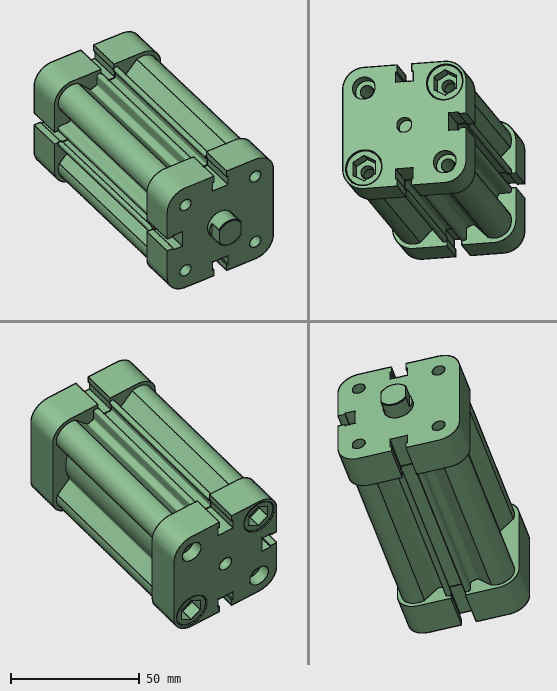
import cadquery as cq
import math


CAP_LENGTH = 14.5
TUBE_LENGTH = 65.5
HOUSING_LENGTH = TUBE_LENGTH + 2 * CAP_LENGTH

CAP_SIZE = 49.5
BOLT_SPACING = 32.5
CAP_CORNER_RADIUS = (CAP_SIZE - BOLT_SPACING) / 2

CORE_RADIUS = 18.5
POST_RADIUS = 6.75
WEB_WIDTH = 12.5
WEB_FILLET = 1.0

RAIL_HALF_WIDTH = 5.0
RAIL_TOP = 23.0
RAIL_ROUND = 1.0
SLOT_MOUTH_HALF = 2.65
SLOT_POCKET_HALF = 3.3
SLOT_FLOOR = 18.0
SLOT_LIP = 21.5
SLOT_FLOOR_FILLET = 0.5
SLOT_MOUTH_ROUND = 0.6
CAP_SLOT_CLEARANCE = 0.3
SLOT_TURNS = (0, 90, 180)

BOLT_HOLE_DIAMETER = 5.2
PLAIN_BORE_DIAMETER = 9.0
PLAIN_BORE_DEPTH = 5.0
CENTRE_HOLE_DIAMETER = 6.0
CENTRE_HOLE_DEPTH = 4.0

SCREW_DIAMETER = 14.0
SCREW_RECESS_DIAMETER = 14.6
SCREW_LENGTH = 10.0
SCREW_SETBACK = 0.5
HEX_ACROSS_FLATS = 9.0
HEX_DEPTH = 5.5

ROD_DIAMETER = 12.0
ROD_PROJECTION = 7.0
ROD_TIP_CHAMFER = 0.3
ROD_ACROSS_FLATS = 10.0
FLAT_START = 1.85
FLAT_RUNOUT = 0.35

half_spacing = BOLT_SPACING / 2
screw_corners = [(-half_spacing, half_spacing), (half_spacing, -half_spacing)]
plain_corners = [(half_spacing, half_spacing), (-half_spacing, -half_spacing)]
all_corners = screw_corners + plain_corners


def section(x):
    """Sketch plane across the cylinder at position x, with local axes Y and Z."""
    return cq.Workplane("YZ", origin=(x, 0, 0))


def turned(shape, degrees):
    return shape.rotate((0, 0, 0), (1, 0, 0), degrees)


def cylinders(points, diameter, length, x=0.0):
    return section(x).pushPoints(points).circle(diameter / 2).extrude(length)


def long_edges(shape, points):
    """Edges parallel to X that pass through the given (Y, Z) points."""
    tolerance = 0.01

    def is_wanted(edge):
        middle = edge.Center()
        return any(math.hypot(middle.y - y, middle.z - z) < tolerance for y, z in points)

    return shape.edges("|X").filter(is_wanted)


def slot_cutter(length, clearance):
    """T-slot on the +Z side, grown by the clearance on every wall."""
    mouth = SLOT_MOUTH_HALF + clearance
    pocket = SLOT_POCKET_HALF + clearance
    floor = SLOT_FLOOR - clearance
    lip = SLOT_LIP + clearance
    return (
        section(0)
        .moveTo(-pocket, floor)
        .lineTo(pocket, floor)
        .lineTo(pocket, lip)
        .lineTo(mouth, lip)
        .lineTo(mouth, CAP_SIZE)
        .lineTo(-mouth, CAP_SIZE)
        .lineTo(-mouth, lip)
        .lineTo(-pocket, lip)
        .close()
        .extrude(length)
    )


def make_web():
    """Bar across two opposite posts, rounded to the post radius at both ends."""
    post_centre = half_spacing * math.sqrt(2)
    posts = cylinders([(-post_centre, 0), (post_centre, 0)], 2 * POST_RADIUS, TUBE_LENGTH)
    bar = section(0).rect(2 * post_centre, WEB_WIDTH).extrude(TUBE_LENGTH)
    envelope = section(0).rect(2 * (post_centre + POST_RADIUS), WEB_WIDTH).extrude(TUBE_LENGTH)
    return bar.union(posts).intersect(envelope).clean()


def webbed_core():
    """Core and both diagonal webs, filleted where they meet."""
    core = section(0).circle(CORE_RADIUS).extrude(TUBE_LENGTH)
    half_web = WEB_WIDTH / 2
    web = make_web()
    for angle in (45, 135):
        core = core.union(turned(web, angle))
    corner_angle = math.asin(half_web / CORE_RADIUS)
    corners = []
    for quarter in range(4):
        for side in (-1, 1):
            angle = math.radians(45 + 90 * quarter) + side * corner_angle
            corners.append((CORE_RADIUS * math.cos(angle), CORE_RADIUS * math.sin(angle)))
    return long_edges(core, corners).fillet(WEB_FILLET)


def add_rail(tube):
    """Adds a slotted rail on the +Z side of the tube."""
    rail = section(0).rect(2 * RAIL_HALF_WIDTH, 2 * RAIL_TOP).extrude(TUBE_LENGTH)
    upper_half = section(0).center(0, RAIL_TOP).rect(2 * RAIL_TOP, 2 * RAIL_TOP).extrude(TUBE_LENGTH)
    tube = tube.union(rail.intersect(upper_half))
    foot_height = math.sqrt(CORE_RADIUS**2 - RAIL_HALF_WIDTH**2)
    rounded = [(s * RAIL_HALF_WIDTH, z) for s in (-1, 1) for z in (foot_height, RAIL_TOP)]
    tube = long_edges(tube, rounded).fillet(RAIL_ROUND)
    floor_corners = [(s * SLOT_POCKET_HALF, SLOT_FLOOR) for s in (-1, 1)]
    slot = slot_cutter(TUBE_LENGTH, 0)
    tube = tube.cut(long_edges(slot, floor_corners).fillet(SLOT_FLOOR_FILLET))
    mouth_edges = [(s * SLOT_MOUTH_HALF, RAIL_TOP) for s in (-1, 1)]
    return long_edges(tube, mouth_edges).fillet(SLOT_MOUTH_ROUND)


def make_tube():
    tube = webbed_core()
    for degrees in SLOT_TURNS:
        tube = turned(add_rail(turned(tube, -degrees)), degrees)
    return tube.translate((CAP_LENGTH, 0, 0))


def make_cap():
    cap = section(0).rect(CAP_SIZE, CAP_SIZE).extrude(CAP_LENGTH)
    cap = cap.edges("|X").fillet(CAP_CORNER_RADIUS)
    cutter = slot_cutter(CAP_LENGTH, CAP_SLOT_CLEARANCE)
    for degrees in SLOT_TURNS:
        cap = cap.cut(turned(cutter, degrees))
    return cap


def make_housing():
    cap = make_cap()
    front_cap = cap.translate((CAP_LENGTH + TUBE_LENGTH, 0, 0))
    housing = make_tube().union(cap).union(front_cap)
    housing = housing.cut(cylinders(all_corners, BOLT_HOLE_DIAMETER, HOUSING_LENGTH))
    housing = housing.cut(cylinders(plain_corners, PLAIN_BORE_DIAMETER, PLAIN_BORE_DEPTH))
    housing = housing.cut(cylinders(screw_corners, SCREW_RECESS_DIAMETER, SCREW_SETBACK + SCREW_LENGTH))
    housing = housing.cut(cylinders([(0, 0)], CENTRE_HOLE_DIAMETER, CENTRE_HOLE_DEPTH))
    return housing.cut(cylinders([(0, 0)], ROD_DIAMETER, CAP_LENGTH, CAP_LENGTH + TUBE_LENGTH))


def make_screw(corner):
    """Collar screw with a hexagon socket and a through hole, set back from the rear face."""
    screw = cylinders([corner], SCREW_DIAMETER, SCREW_LENGTH)
    hex_across_corners = HEX_ACROSS_FLATS / math.cos(math.pi / 6)
    socket = section(0).polygon(6, hex_across_corners).extrude(HEX_DEPTH)
    socket = turned(socket, 90).translate((0, *corner))
    screw = screw.cut(socket).cut(cylinders([corner], BOLT_HOLE_DIAMETER, SCREW_LENGTH))
    return screw.translate((SCREW_SETBACK, 0, 0))


def make_rod():
    """Rod with a chamfered tip and two wrench flats on its Y sides."""
    rod = cylinders([(0, 0)], ROD_DIAMETER, CAP_LENGTH + ROD_PROJECTION, HOUSING_LENGTH - CAP_LENGTH)
    rod = rod.faces(">X").chamfer(ROD_TIP_CHAMFER)
    flat_y = ROD_ACROSS_FLATS / 2
    edge_y = ROD_DIAMETER / 2
    flat_x = HOUSING_LENGTH + FLAT_START
    tip_x = HOUSING_LENGTH + ROD_PROJECTION
    cutter = (
        cq.Workplane("XY")
        .moveTo(flat_x - FLAT_RUNOUT, edge_y)
        .lineTo(flat_x, flat_y)
        .lineTo(tip_x, flat_y)
        .lineTo(tip_x, edge_y)
        .close()
        .extrude(ROD_DIAMETER, both=True)
    )
    return rod.cut(cutter).cut(cutter.mirror("XZ"))


housing = make_housing()
rod = make_rod()
screws = [make_screw(corner) for corner in screw_corners]

result = cq.Compound.makeCompound(
    [housing.val(), rod.val(), *[screw.val() for screw in screws]]
)